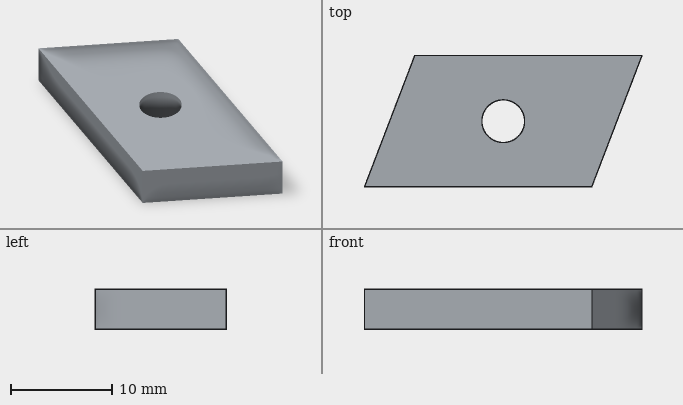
import cadquery as cq

length = 27.5
width = 13.0
thickness = 4.0

skew = 4.98
hole_diameter = 4.2

half_length = length / 2
half_width = width / 2

outline = [
    (-half_length, -half_width),
    (half_length - skew, -half_width),
    (half_length, half_width),
    (-half_length + skew, half_width),
]
plate = cq.Workplane("XY").polyline(outline).close().extrude(thickness)

result = plate.faces(">Z").workplane(origin=(0, 0, thickness)).hole(hole_diameter)